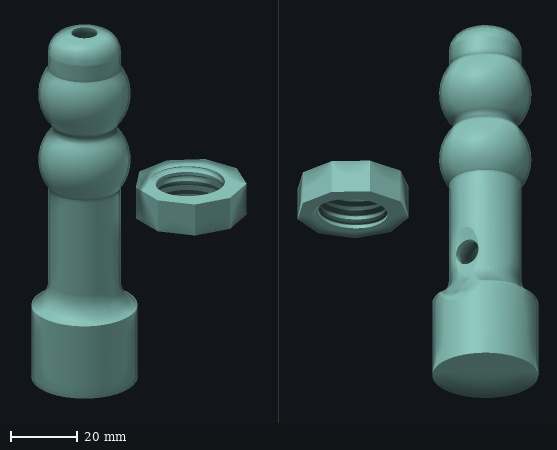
import cadquery as cq
import math

total_height = 114.0
base_radius = 32.0 / 2
base_height = 23.9
shaft_radius = 22.0 / 2
flare_height = 7.8
ball_radius = 27.9 / 2
lower_ball_z = 72.0
upper_ball_z = 93.9
neck_radius = 2.0
tip_round = 6.0

bore_diameter = 8.0
outlet_z = 37.2
outlet_overrun = 0.6
relief_radius = 29.6
relief_depth_y = 9.9

nut_sides = 9
nut_width_x = 33.1
nut_y = 74.9
nut_bottom = base_height
nut_height = 10.3
nut_bore_radius = 21.0 / 2
thread_root_radius = 24.4 / 2
thread_pitch = 3.0
groove_mouth = 1.9
groove_root = 0.2
groove_overlap = 0.1
thread_angle = 195
turns_below_face = 5
turns_above_face = 1


def make_fitting_profile():
    """Half section in the XZ plane: X is the radius, Y the height."""
    flare_step = base_radius - shaft_radius
    flare_radius = (flare_step**2 + flare_height**2) / (2 * flare_step)
    flare_top = base_height + flare_height
    half_sweep = math.asin(flare_height / flare_radius) / 2
    flare_mid = (
        shaft_radius + flare_radius * (1 - math.cos(half_sweep)),
        flare_top - flare_radius * math.sin(half_sweep),
    )

    ball_end = math.sqrt(ball_radius**2 - shaft_radius**2)
    neck_z = (lower_ball_z + upper_ball_z) / 2
    half_spacing = (upper_ball_z - lower_ball_z) / 2
    neck_center_r = math.sqrt((ball_radius + neck_radius) ** 2 - half_spacing**2)
    contact = ball_radius / (ball_radius + neck_radius)
    contact_r = neck_center_r * contact
    contact_rise = half_spacing * contact

    tip_start = total_height - tip_round
    tip_flat_radius = shaft_radius - tip_round
    tip_mid = (
        tip_flat_radius + tip_round * math.sqrt(0.5),
        tip_start + tip_round * math.sqrt(0.5),
    )

    return (
        cq.Workplane("XZ")
        .moveTo(0, 0)
        .lineTo(base_radius, 0)
        .lineTo(base_radius, base_height)
        .threePointArc(flare_mid, (shaft_radius, flare_top))
        .lineTo(shaft_radius, lower_ball_z - ball_end)
        .threePointArc((ball_radius, lower_ball_z), (contact_r, lower_ball_z + contact_rise))
        .threePointArc((neck_center_r - neck_radius, neck_z), (contact_r, upper_ball_z - contact_rise))
        .threePointArc((ball_radius, upper_ball_z), (shaft_radius, upper_ball_z + ball_end))
        .lineTo(shaft_radius, tip_start)
        .threePointArc(tip_mid, (tip_flat_radius, total_height))
        .lineTo(0, total_height)
        .close()
    )


def make_bore():
    """Vertical bore from the tip, turning into an outlet towards +Y."""
    bore_radius = bore_diameter / 2
    outlet_end = bore_radius + outlet_overrun
    vertical = (
        cq.Workplane("XY")
        .workplane(offset=outlet_z)
        .circle(bore_radius)
        .extrude(total_height - outlet_z)
    )
    outlet = (
        cq.Workplane("XZ", origin=(0, -outlet_end, outlet_z))
        .circle(bore_radius)
        .extrude(-(base_radius + outlet_end))
    )
    return vertical.union(outlet)


def make_relief():
    """Ball that scoops a shallow relief around the outlet."""
    relief_center = (0, relief_depth_y + relief_radius, outlet_z)
    return cq.Workplane("XY").sphere(relief_radius).translate(relief_center)


def make_fitting():
    body = make_fitting_profile().revolve(360, (0, 0, 0), (0, 1, 0))
    return body.cut(make_relief()).cut(make_bore())


def make_thread_groove():
    """Helical groove with a trapezoid section, running past both faces of the nut."""
    bottom = nut_height - turns_below_face * thread_pitch
    length = (turns_below_face + turns_above_face) * thread_pitch
    flank = (groove_mouth - groove_root) / 2
    inner_half = groove_mouth / 2 + flank * groove_overlap / (thread_root_radius - nut_bore_radius)
    inner_radius = nut_bore_radius - groove_overlap
    section = [
        (inner_radius, -inner_half),
        (thread_root_radius, -groove_root / 2),
        (thread_root_radius, groove_root / 2),
        (inner_radius, inner_half),
    ]

    helices = [
        cq.Wire.makeHelix(thread_pitch, length, radius).translate(cq.Vector(0, 0, bottom + rise))
        for radius, rise in section
    ]
    faces = [
        cq.Face.makeRuledSurface(helices[i - 1], helices[i])
        for i in range(len(helices))
    ]
    for end in (bottom, bottom + length):
        corners = [cq.Vector(radius, 0, end + rise) for radius, rise in section]
        faces.append(cq.Face.makeFromWires(cq.Wire.makePolygon(corners, close=True)))
    groove = cq.Solid.makeSolid(cq.Shell.makeShell(faces))
    return cq.Workplane(obj=groove.rotate(cq.Vector(0, 0, 0), cq.Vector(0, 0, 1), thread_angle))


def make_nut():
    corner_radius = nut_width_x / (1 + math.cos(math.pi / nut_sides))
    blank = (
        cq.Workplane("XY")
        .polygon(nut_sides, 2 * corner_radius)
        .extrude(nut_height)
        .rotate((0, 0, 0), (0, 0, 1), 180)
    )
    bore = cq.Workplane("XY").circle(nut_bore_radius).extrude(nut_height)
    return blank.cut(make_thread_groove()).cut(bore).translate((0, nut_y, nut_bottom))


fitting = make_fitting()
nut = make_nut()

result = cq.Compound.makeCompound([fitting.solids().val(), nut.solids().val()])